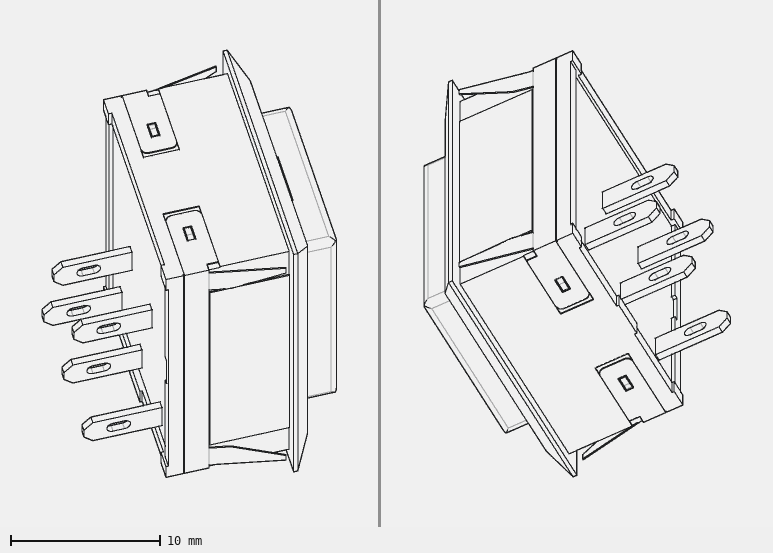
import cadquery as cq


BEZEL_WIDTH = 17.8
BEZEL_HEIGHT = 24.0
BEZEL_THICKNESS = 1.45
BEZEL_RIM = 0.3
BEZEL_INSET = 1.68

BODY_WIDTH = 15.75
BODY_HEIGHT = 21.85
TOP_BAR_DEPTH = 8.35
FRAME_DEPTH = 8.42
PAD_DEPTH = 8.6
PAD_WIDTH = 1.25
PAD_HEIGHT = 1.2
CENTRE_PAD_WIDTH = 2.57

ROCKER_WIDTH = 12.0
ROCKER_HEIGHT = 17.0
ROCKER_PROJECTION = 2.47
ROCKER_FILLET = 0.53
NOTCH_WIDTH = 3.82
NOTCH_RISE = 0.45
NOTCH_DEPTH = 0.2

PLATE_WIDTH = 14.1
PLATE_HEIGHT = BODY_HEIGHT - 2 * PAD_HEIGHT
PLATE_FACE_DEPTH = 8.15
PLATE_THICKNESS = 0.95
PLATE_TAB_REACH = 0.3
PLATE_TAB_HEIGHT = 2.57

TERMINAL_THICKNESS = 0.5
TERMINAL_HEIGHT = 2.0
TERMINAL_TIP_DEPTH = 13.58
TERMINAL_CHAMFER = 0.62
TERMINAL_SPACING = 5.05
TERMINAL_ROW_DROP = 7.6
EYE_LENGTH = 1.63
EYE_HEIGHT = 0.85
EYE_DEPTH = 11.15

CLIP_THICKNESS = 0.1
CLIP_REAR_DEPTH = 7.3
STRIP_FRONT_DEPTH = 5.6
ARM_FRONT_DEPTH = 4.8
ARM_INNER_X = 2.75
ARM_OUTER_X = 7.35
ARM_CORNER_RADIUS = 0.45
ARM_RELIEF_RADIUS = 0.12
SIDE_RECESS_FRONT = 5.52
SIDE_RECESS_REAR = 7.37
SIDE_PANEL_HEIGHT = 16.8
POCKET_INNER_X = 2.47
WING_TIP_DEPTH = 0.5
WING_TIP_X = 8.85
WING_TIP_WIDTH = 0.5
WING_SHOULDER_DEPTH = 4.15
WING_OUTER_Z = 10.58
WING_INNER_Z = 8.74

WINDOW_INNER_X = 3.95
WINDOW_OUTER_X = 5.1
WINDOW_FRONT_DEPTH = 5.74
WINDOW_REAR_DEPTH = 6.34
LUG_CLEARANCE = 0.07
LUG_CREST_X = 4.63

HALF_WIDTH = BODY_WIDTH / 2
HALF_HEIGHT = BODY_HEIGHT / 2
FLOOR_X = HALF_WIDTH - CLIP_THICKNESS
FLOOR_Z = HALF_HEIGHT - CLIP_THICKNESS
PLATE_FRONT_Y = PLATE_THICKNESS - PLATE_FACE_DEPTH


def block(x_range, y_range, z_range):
    """Box between two limits along each axis."""
    lengths = [max(r) - min(r) for r in (x_range, y_range, z_range)]
    corner = (min(x_range), min(y_range), min(z_range))
    return cq.Workplane("XY").box(*lengths, centered=False).translate(corner)


def centred_block(width, y_range, height):
    """Box centred on the Y axis."""
    return block((-width / 2, width / 2), y_range, (-height / 2, height / 2))


def mirrored_z(shape):
    return shape.mirror("XY")


def mirrored_x(shape):
    return shape.mirror("YZ")


def make_bezel():
    """Bezel with a straight rim and four sloping sides."""
    rim = centred_block(BEZEL_WIDTH, (0, BEZEL_RIM), BEZEL_HEIGHT)
    slope = (
        cq.Workplane("XZ", origin=(0, BEZEL_RIM, 0))
        .rect(BEZEL_WIDTH, BEZEL_HEIGHT)
        .workplane(offset=-(BEZEL_THICKNESS - BEZEL_RIM))
        .rect(BEZEL_WIDTH - 2 * BEZEL_INSET, BEZEL_HEIGHT - 2 * BEZEL_INSET)
        .loft(combine=True)
    )
    return rim.union(slope)


def make_rear_frame():
    """Housing block with its stepped rear face: lower top bar, corner pads and a centre pad."""
    frame = centred_block(BODY_WIDTH, (-FRAME_DEPTH, 0), BODY_HEIGHT)
    bar_z = (HALF_HEIGHT - PAD_HEIGHT, HALF_HEIGHT)
    frame = frame.cut(block((-HALF_WIDTH, HALF_WIDTH), (-FRAME_DEPTH, -TOP_BAR_DEPTH), bar_z))
    pad_y = (-PAD_DEPTH, -TOP_BAR_DEPTH)
    for side in (-1, 1):
        pad_x = (side * (HALF_WIDTH - PAD_WIDTH), side * HALF_WIDTH)
        pad = block(pad_x, pad_y, bar_z)
        frame = frame.union(pad).union(mirrored_z(pad))
    centre_x = (-CENTRE_PAD_WIDTH / 2, CENTRE_PAD_WIDTH / 2)
    centre_pad = block(centre_x, pad_y, (-HALF_HEIGHT, PAD_HEIGHT - HALF_HEIGHT))
    return frame.union(centre_pad)


def make_side_recess():
    """Space beside the housing at -X: a full-height band and a bay for each clip wing."""
    recess_x = (-HALF_WIDTH, -FLOOR_X)
    band = block(recess_x, (-SIDE_RECESS_REAR, -SIDE_RECESS_FRONT), (-HALF_HEIGHT, HALF_HEIGHT))
    bay = block(recess_x, (-SIDE_RECESS_REAR, 0), (SIDE_PANEL_HEIGHT / 2, HALF_HEIGHT))
    return band.union(bay).union(mirrored_z(bay))


def make_lug():
    """Latch lug at -X on the top, flat near the middle and ramped towards the side."""
    inner_x = -WINDOW_INNER_X - LUG_CLEARANCE
    outer_x = -WINDOW_OUTER_X + LUG_CLEARANCE
    return (
        cq.Workplane("XZ", origin=(0, -WINDOW_FRONT_DEPTH - LUG_CLEARANCE, 0))
        .polyline([
            (outer_x, FLOOR_Z),
            (-LUG_CREST_X, HALF_HEIGHT),
            (inner_x, HALF_HEIGHT),
            (inner_x, FLOOR_Z),
        ])
        .close()
        .extrude(WINDOW_REAR_DEPTH - WINDOW_FRONT_DEPTH - 2 * LUG_CLEARANCE)
    )


def make_arm_pocket():
    """Shallow pocket for a clip arm at -X on the top, with the latch lug left standing."""
    pocket_y = (-CLIP_REAR_DEPTH, -ARM_FRONT_DEPTH)
    pocket = block((-HALF_WIDTH, -POCKET_INNER_X), pocket_y, (FLOOR_Z, HALF_HEIGHT))
    return pocket.cut(make_lug())


def make_plate_outline(y_range):
    """Base plate with the locating tab on its +X edge."""
    plate = centred_block(PLATE_WIDTH, y_range, PLATE_HEIGHT)
    tab_x = (0, PLATE_WIDTH / 2 + PLATE_TAB_REACH)
    tab = block(tab_x, y_range, (-PLATE_TAB_HEIGHT / 2, PLATE_TAB_HEIGHT / 2))
    return plate.union(tab)


def make_rocker_socket():
    socket = centred_block(ROCKER_WIDTH, (0, BEZEL_THICKNESS), ROCKER_HEIGHT)
    return socket.edges("|Y").fillet(ROCKER_FILLET)


def make_housing():
    housing = make_bezel().union(make_rear_frame())
    housing = housing.cut(make_rocker_socket())
    housing = housing.cut(make_plate_outline((-PAD_DEPTH, PLATE_FRONT_Y)))
    side_recess = make_side_recess()
    pocket = make_arm_pocket()
    for cutter in (side_recess, pocket, mirrored_z(pocket)):
        housing = housing.cut(cutter).cut(mirrored_x(cutter))
    return housing


def make_rocker():
    """Rocker whose corners are the meeting of three rounded prisms, one along each axis."""
    front_y = BEZEL_THICKNESS + ROCKER_PROJECTION
    blank = centred_block(ROCKER_WIDTH, (0, front_y), ROCKER_HEIGHT)
    rocker = blank.edges("|Y").fillet(ROCKER_FILLET)
    for front_edges in (">Y and |X", ">Y and |Z"):
        rocker = rocker.intersect(blank.edges(front_edges).fillet(ROCKER_FILLET))
    notch = block(
        (-NOTCH_WIDTH / 2, NOTCH_WIDTH / 2),
        (BEZEL_THICKNESS, BEZEL_THICKNESS + NOTCH_RISE),
        (ROCKER_HEIGHT / 2 - NOTCH_DEPTH, ROCKER_HEIGHT / 2),
    )
    return rocker.cut(notch)


def make_terminal(x, z):
    """Flat blade from the front of the base plate to a chamfered tip, with a long eye."""
    blade = block(
        (-TERMINAL_THICKNESS / 2, TERMINAL_THICKNESS / 2),
        (-TERMINAL_TIP_DEPTH, PLATE_FRONT_Y),
        (-TERMINAL_HEIGHT / 2, TERMINAL_HEIGHT / 2),
    )
    blade = blade.faces("<Y").edges("|X").chamfer(TERMINAL_CHAMFER)
    eye = (
        cq.Workplane("YZ", origin=(0, -EYE_DEPTH, 0))
        .slot2D(EYE_LENGTH, EYE_HEIGHT)
        .extrude(TERMINAL_THICKNESS, both=True)
    )
    return blade.cut(eye).translate((x, 0, z))


def make_base_plate(terminals):
    """Base plate with a close slot for each terminal."""
    plate = make_plate_outline((-PLATE_FACE_DEPTH, PLATE_FRONT_Y))
    for terminal in terminals:
        plate = plate.cut(terminal)
    return plate


def make_clip_arm():
    """Arm of the -X clip over the top of the housing, with its latch window."""
    arm_z = (FLOOR_Z, HALF_HEIGHT)
    arm = block((-ARM_OUTER_X, -ARM_INNER_X), (-CLIP_REAR_DEPTH, -ARM_FRONT_DEPTH), arm_z)
    arm = arm.edges("|Z and >X").fillet(ARM_CORNER_RADIUS)
    arm = arm.edges("|Z and <X and >Y").fillet(ARM_RELIEF_RADIUS)
    arm = arm.union(block((-HALF_WIDTH, -ARM_OUTER_X), (-CLIP_REAR_DEPTH, -STRIP_FRONT_DEPTH), arm_z))
    window = block(
        (-WINDOW_OUTER_X, -WINDOW_INNER_X),
        (-WINDOW_REAR_DEPTH, -WINDOW_FRONT_DEPTH),
        arm_z,
    )
    return arm.cut(window)


def make_clip_wing():
    """Upper spring wing of the -X clip, splayed outwards and narrowing to its tip."""
    sheet = (
        cq.Workplane("XY", origin=(0, 0, WING_INNER_Z))
        .polyline([
            (-HALF_WIDTH, -STRIP_FRONT_DEPTH),
            (-WING_TIP_X, -WING_TIP_DEPTH),
            (CLIP_THICKNESS - WING_TIP_X, -WING_TIP_DEPTH),
            (-FLOOR_X, -STRIP_FRONT_DEPTH),
        ])
        .close()
        .extrude(WING_OUTER_Z - WING_INNER_Z)
    )
    taper = (
        cq.Workplane("YZ", origin=(-WING_TIP_X, 0, 0))
        .polyline([
            (-WING_SHOULDER_DEPTH, WING_INNER_Z),
            (-WING_TIP_DEPTH, WING_OUTER_Z - WING_TIP_WIDTH),
            (-WING_TIP_DEPTH, WING_INNER_Z),
        ])
        .close()
        .extrude(WING_TIP_X)
    )
    return sheet.cut(taper)


def make_clip():
    """U-shaped sheet clip on the -X side."""
    strip_y = (-CLIP_REAR_DEPTH, -STRIP_FRONT_DEPTH)
    clip = block((-HALF_WIDTH, -FLOOR_X), strip_y, (-HALF_HEIGHT, HALF_HEIGHT))
    for part in (make_clip_arm(), make_clip_wing()):
        clip = clip.union(part).union(mirrored_z(part))
    return clip


TERMINAL_PLACES = [(column * TERMINAL_SPACING / 2, 0) for column in (-1, 1)]
TERMINAL_PLACES += [(column * TERMINAL_SPACING, -TERMINAL_ROW_DROP) for column in (-1, 0, 1)]

housing = make_housing()
rocker = make_rocker()
terminals = [make_terminal(x, z) for x, z in TERMINAL_PLACES]
base_plate = make_base_plate(terminals)
left_clip = make_clip()
clips = [left_clip, mirrored_x(left_clip)]

result = cq.Compound.makeCompound(
    [body.val() for body in (housing, rocker, base_plate, *clips, *terminals)]
)